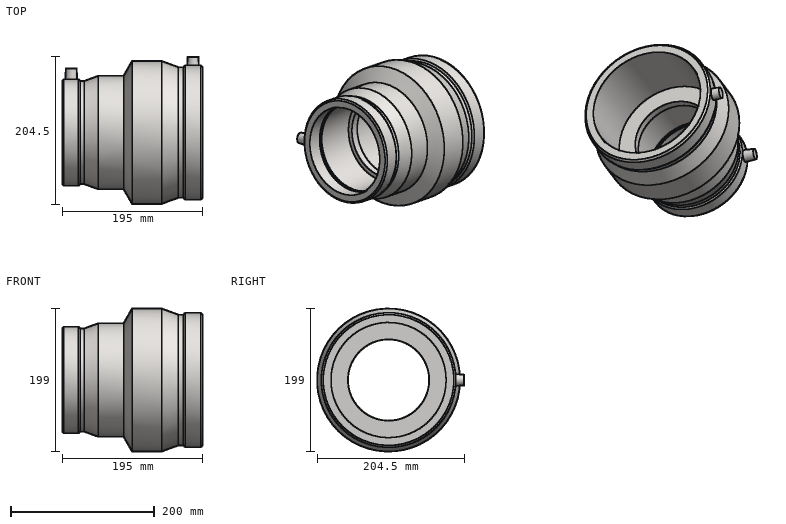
import cadquery as cq
import math

LENGTH = 195.0
SMALL_FACE_DIA = 144.06
SMALL_COLLAR_DIA = 148.52
SMALL_NECK_DIA = 143.7
SMALL_BODY_DIA = 158.0
LARGE_BODY_DIA = 199.0
LARGE_NECK_DIA = 182.0
LARGE_COLLAR_DIA = 187.06
LARGE_FACE_DIA = 181.45

SMALL_COLLAR_END = 22.3
SMALL_NECK_END = 30.4
SMALL_BODY_END = 85.0
LARGE_BODY_START = 96.8
LARGE_BODY_END = 137.7
LARGE_COLLAR_START = 170.5

TAPER_ANGLE = 20.0

PASSAGE_DIA = 112.5
SMALL_SOCKET_DIA = 125.0
SMALL_SOCKET_DEPTH = SMALL_BODY_END
LARGE_SOCKET_DIA = 160.0
LARGE_SOCKET_DEPTH = LENGTH - LARGE_BODY_START

GROOVE_START = 22.3
GROOVE_WIDTH = 4.0
GROOVE_DEPTH = 0.7

POST_TOP_DIA = 15.3
POST_DRAFT = 3.0
POST_ROOT_DEPTH = 3.0
SMALL_POST_X = 12.3
SMALL_POST_TOP = 89.25
LARGE_POST_X = 181.4
LARGE_POST_TOP = 105.0


def taper_run(first_dia, second_dia):
    """Axial length of a shallow taper between two diameters."""
    return abs(second_dia - first_dia) / 2 / math.tan(math.radians(TAPER_ANGLE))


def bevel_run(first_dia, second_dia):
    """Axial length of a 45 degree bevel between two diameters."""
    return abs(second_dia - first_dia) / 2


def make_body():
    """Solid of revolution about X bounded by the outer surface."""
    small_body_start = SMALL_NECK_END + taper_run(SMALL_NECK_DIA, SMALL_BODY_DIA)
    large_neck_start = LARGE_BODY_END + taper_run(LARGE_BODY_DIA, LARGE_NECK_DIA)
    stations = [
        (0, SMALL_FACE_DIA),
        (bevel_run(SMALL_FACE_DIA, SMALL_COLLAR_DIA), SMALL_COLLAR_DIA),
        (SMALL_COLLAR_END, SMALL_COLLAR_DIA),
        (SMALL_COLLAR_END + bevel_run(SMALL_COLLAR_DIA, SMALL_NECK_DIA), SMALL_NECK_DIA),
        (SMALL_NECK_END, SMALL_NECK_DIA),
        (small_body_start, SMALL_BODY_DIA),
        (SMALL_BODY_END, SMALL_BODY_DIA),
        (LARGE_BODY_START, LARGE_BODY_DIA),
        (LARGE_BODY_END, LARGE_BODY_DIA),
        (large_neck_start, LARGE_NECK_DIA),
        (LARGE_COLLAR_START - bevel_run(LARGE_NECK_DIA, LARGE_COLLAR_DIA), LARGE_NECK_DIA),
        (LARGE_COLLAR_START, LARGE_COLLAR_DIA),
        (LENGTH - bevel_run(LARGE_COLLAR_DIA, LARGE_FACE_DIA), LARGE_COLLAR_DIA),
        (LENGTH, LARGE_FACE_DIA),
    ]
    outline = [(x, dia / 2) for x, dia in stations]
    profile = cq.Workplane("XY").polyline([(0, 0)] + outline + [(LENGTH, 0)]).close()
    return profile.revolve(360, (0, 0, 0), (1, 0, 0))


def make_disc(start, length, dia):
    """Cylinder on the X axis beginning at the given station."""
    return cq.Workplane("YZ", origin=(start, 0, 0)).circle(dia / 2).extrude(length)


def make_bore():
    """Everything removed from inside the body."""
    passage = make_disc(0, LENGTH, PASSAGE_DIA)
    small_socket = make_disc(0, SMALL_SOCKET_DEPTH, SMALL_SOCKET_DIA)
    groove = make_disc(GROOVE_START, GROOVE_WIDTH, SMALL_SOCKET_DIA + 2 * GROOVE_DEPTH)
    large_socket = make_disc(LENGTH - LARGE_SOCKET_DEPTH, LARGE_SOCKET_DEPTH, LARGE_SOCKET_DIA)
    return passage.union(small_socket).union(groove).union(large_socket)


def make_post(x, top, collar_dia):
    """Post along +Y that widens from its top down into the collar."""
    height = top - collar_dia / 2 + POST_ROOT_DEPTH
    top_plane = cq.Plane(origin=(x, top, 0), xDir=(1, 0, 0), normal=(0, -1, 0))
    return cq.Workplane(top_plane).circle(POST_TOP_DIA / 2).extrude(height, taper=-POST_DRAFT)


small_post = make_post(SMALL_POST_X, SMALL_POST_TOP, SMALL_COLLAR_DIA)
large_post = make_post(LARGE_POST_X, LARGE_POST_TOP, LARGE_COLLAR_DIA)
result = make_body().cut(make_bore()).union(small_post).union(large_post)